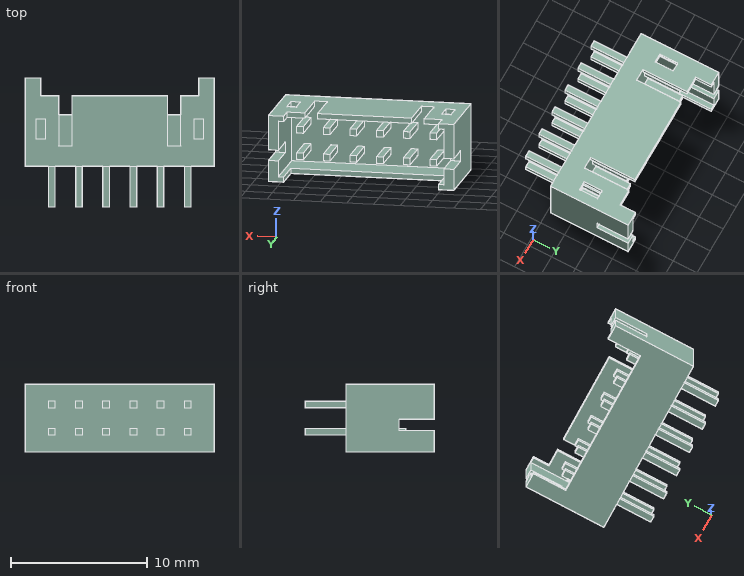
import cadquery as cq

length = 13.9
depth = 6.5
height = 5.0
broad_wall = 0.4
side_wall = 0.75
base_thickness = 1.5

arm_width = 1.15
top_wall_reach = 5.2
bottom_wall_reach = 3.8

key_slot_center = 4.0
key_slot_width = 0.95

window_center = 5.8
window_width = 0.7
window_length = 1.5
window_start = 2.0

side_slot_center = 2.0
side_slot_height = 0.8
side_slot_depth = 2.6

pin_columns = 6
pin_rows = 2
pitch = 2.0
pin_size = 0.5
pin_tail = 3.0
pin_end = 4.4
bottom_row_height = 1.5

cavity_length = length - 2 * side_wall
arm_gap = length - 2 * arm_width
top_wall_underside = height - broad_wall


def block(center_x, width, y_start, y_end, z_bottom, z_top):
    """Box centred on center_x, spanning the given Y and Z ranges."""
    return (
        cq.Workplane("XY")
        .box(width, y_end - y_start, z_top - z_bottom, centered=(True, False, False))
        .translate((center_x, y_start, z_bottom))
    )


def make_shell():
    outside = block(0, length, 0, depth, 0, height)
    cavity = block(0, cavity_length, base_thickness, depth, broad_wall, top_wall_underside)
    return outside.cut(cavity)


def cut_back_broad_walls(housing):
    top_notch = block(0, arm_gap, top_wall_reach, depth, top_wall_underside, height)
    bottom_notch = block(0, arm_gap, bottom_wall_reach, depth, 0, broad_wall)
    return housing.cut(top_notch).cut(bottom_notch)


def cut_top_wall_openings(housing):
    window_end = window_start + window_length
    for side in (-1, 1):
        key_slot = block(
            side * key_slot_center, key_slot_width, base_thickness, depth, top_wall_underside, height
        )
        window = block(
            side * window_center, window_width, window_start, window_end, top_wall_underside, height
        )
        housing = housing.cut(key_slot).cut(window)
    return housing


def cut_side_slots(housing):
    slot_bottom = side_slot_center - side_slot_height / 2
    slot_top = side_slot_center + side_slot_height / 2
    return housing.cut(block(0, length, depth - side_slot_depth, depth, slot_bottom, slot_top))


def add_pins(housing):
    first_column = -(pin_columns - 1) * pitch / 2
    for row in range(pin_rows):
        pin_height = bottom_row_height + row * pitch
        pin_bottom = pin_height - pin_size / 2
        pin_top = pin_height + pin_size / 2
        for column in range(pin_columns):
            pin_x = first_column + column * pitch
            housing = housing.union(block(pin_x, pin_size, -pin_tail, pin_end, pin_bottom, pin_top))
    return housing


housing = make_shell()
housing = cut_back_broad_walls(housing)
housing = cut_top_wall_openings(housing)
housing = cut_side_slots(housing)
result = add_pins(housing)